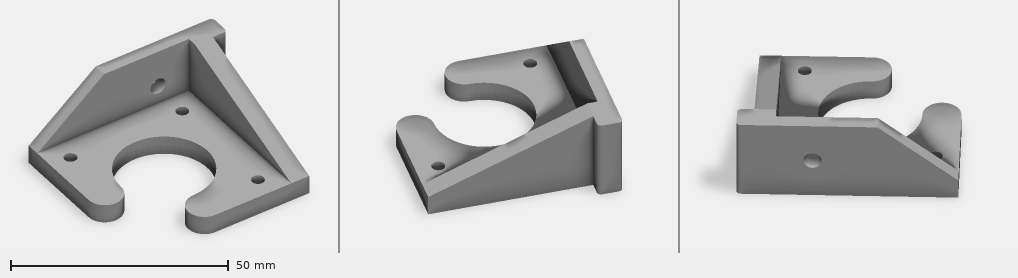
import cadquery as cq

length_x = 45.5
length_y = 51.0
height = 20.0

plate_thickness = 5.0
plate_back_y = 47.0
seat_radius = 12.0
prong_radius = 4.5
seat_x = length_x - 2 * prong_radius - seat_radius
seat_y = 2 * prong_radius + seat_radius
screw_diameter = 3.2
screw_offset = 15.5

wall_thickness = 3.5
wall_slope_length = 18.55
lip_width = 6.0
lip_radius = 1.0
gusset_thickness = 5.0
gusset_front_y = plate_back_y - gusset_thickness
wall_hole_diameter = 4.2
wall_hole_y = 33.5
wall_hole_z = height / 2


def base_plate():
    """Plate whose seat opens toward the +X, -Y corner."""
    seat_left = (seat_x - seat_radius, seat_y)
    prong_y = prong_radius
    prong_x = length_x - prong_radius
    diagonal = seat_radius * 0.5**0.5
    plate = (
        cq.Workplane("XY")
        .lineTo(seat_x, 0)
        .threePointArc((seat_x + prong_radius, prong_y), (seat_x, 2 * prong_radius))
        .threePointArc(seat_left, (seat_x - diagonal, seat_y + diagonal))
        .threePointArc((seat_x, seat_y + seat_radius), (seat_x + seat_radius, seat_y))
        .threePointArc((prong_x, seat_y - prong_radius), (length_x, seat_y))
        .lineTo(length_x, plate_back_y)
        .lineTo(0, plate_back_y)
        .close()
        .extrude(plate_thickness)
    )
    screw_signs = [(-1, -1), (-1, 1), (1, 1)]
    screw_points = [(seat_x + i * screw_offset, seat_y + j * screw_offset) for i, j in screw_signs]
    screws = (
        cq.Workplane("XY")
        .pushPoints(screw_points)
        .circle(screw_diameter / 2)
        .extrude(plate_thickness)
    )
    return plate.cut(screws)


def side_wall():
    """Wall along the -X side up to the rear lip, sloping down to the plate at its -Y end."""
    return (
        cq.Workplane("YZ")
        .lineTo(gusset_front_y, 0)
        .lineTo(gusset_front_y, height)
        .lineTo(wall_slope_length, height)
        .lineTo(0, plate_thickness)
        .close()
        .extrude(wall_thickness)
    )


def rear_lip():
    """Thicker rear end of the wall, with rounded outer corners."""
    return (
        cq.Workplane("XY")
        .moveTo(0, gusset_front_y)
        .rect(lip_width, length_y - gusset_front_y, centered=False)
        .extrude(height)
        .edges("|Z and >Y")
        .fillet(lip_radius)
    )


def rear_gusset():
    """Upright rib sloping from the lip down to the +X edge of the plate."""
    return (
        cq.Workplane("XZ", origin=(0, plate_back_y, 0))
        .lineTo(length_x, 0)
        .lineTo(length_x, plate_thickness)
        .lineTo(lip_width, height)
        .lineTo(0, height)
        .close()
        .extrude(gusset_thickness)
    )


def wall_hole():
    """Cross hole through the side wall."""
    return (
        cq.Workplane("YZ")
        .center(wall_hole_y, wall_hole_z)
        .circle(wall_hole_diameter / 2)
        .extrude(wall_thickness)
    )


result = base_plate().union(side_wall()).union(rear_lip()).union(rear_gusset()).cut(wall_hole())